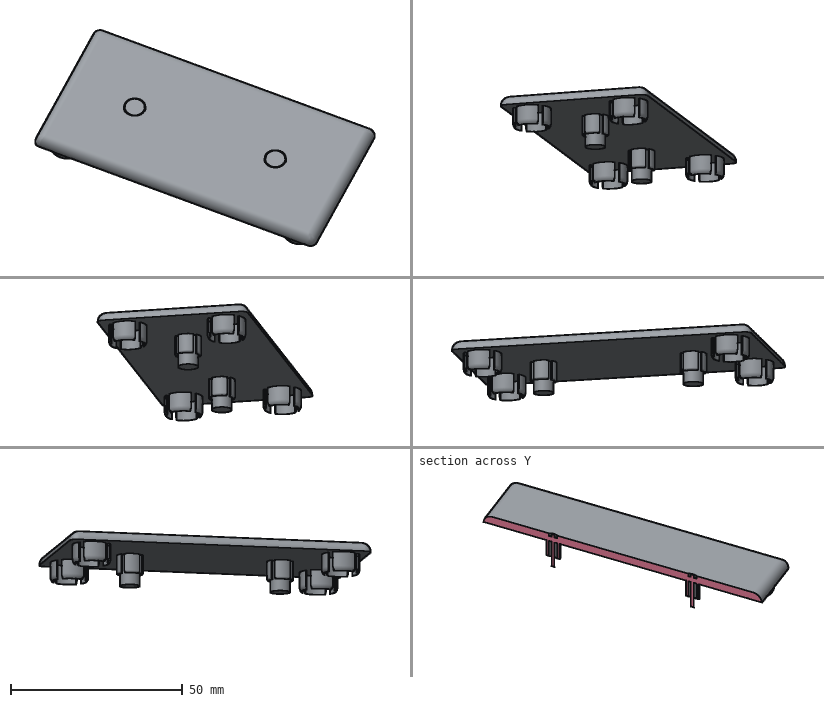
import cadquery as cq

plate_length = 90.0
plate_width = 45.0
plate_thickness = 3.0
rim_height = 0.01
edge_radius = plate_thickness - rim_height
corner_radius = 2.0

clip_height = 5.6

corner_clip_bore = 10.0
corner_clip_diameter = 11.2
corner_clip_tip_diameter = 10.1
corner_clip_tip_height = 1.35
corner_clip_slot_width = 1.7
corner_clip_inset = 7.7

pin_diameter = 5.85
pin_length = 9.0
pin_spacing = plate_length / 2
guide_bore = 6.3
guide_diameter = 7.7
guide_tip_radius = 0.5
guide_slot_width = 1.2

groove_depth = 1.0

corner_clip_x = plate_length / 2 - corner_clip_inset
corner_clip_y = plate_width / 2 - corner_clip_inset
corner_clip_points = [(x, y) for x in (-corner_clip_x, corner_clip_x) for y in (-corner_clip_y, corner_clip_y)]
pin_points = [(-pin_spacing / 2, 0), (pin_spacing / 2, 0)]


def make_plate():
    """Plate with rounded top edges; the curved mitres left at its corners are rounded too."""
    plate = cq.Workplane("XY").box(plate_length, plate_width, plate_thickness, centered=(True, True, False))
    plate = plate.faces(">Z").edges().fillet(edge_radius)
    return plate.edges("%ELLIPSE").fillet(corner_radius)


def split_into_arms(ring, slot_length, slot_width):
    """Split a clip ring into four arms with two crossing diagonal slots."""
    slot = cq.Workplane("XY").rect(slot_length, slot_width).extrude(-clip_height)
    for angle in (45, -45):
        ring = ring.cut(slot.rotate((0, 0, 0), (0, 0, 1), angle))
    return ring


def make_corner_clip():
    """Thin slotted ring whose outside curves inward to the tip."""
    bore_radius = corner_clip_bore / 2
    outer_radius = corner_clip_diameter / 2
    tip_radius = corner_clip_tip_diameter / 2
    profile = (
        cq.Workplane("XZ")
        .moveTo(bore_radius, 0)
        .lineTo(outer_radius, 0)
        .lineTo(outer_radius, corner_clip_tip_height - clip_height)
        .tangentArcPoint((tip_radius, -clip_height), relative=False)
        .lineTo(bore_radius, -clip_height)
        .close()
    )
    ring = profile.revolve(360, (0, 0, 0), (0, 1, 0))
    return split_into_arms(ring, 2 * corner_clip_diameter, corner_clip_slot_width)


def make_guided_pin():
    """Pin with a slotted guide ring around it, rounded at the ring's outer tip edge."""
    ring = cq.Workplane("XY").circle(guide_diameter / 2).extrude(-clip_height)
    ring = ring.faces("<Z").edges().fillet(guide_tip_radius)
    bore = cq.Workplane("XY").circle(guide_bore / 2).extrude(-clip_height)
    ring = split_into_arms(ring.cut(bore), 2 * guide_diameter, guide_slot_width)
    pin = cq.Workplane("XY").circle(pin_diameter / 2).extrude(-pin_length)
    return ring.add(pin).combine()


def make_pin_grooves():
    """Ring grooves that outline the pins in the top face."""
    top = cq.Workplane("XY", origin=(0, 0, plate_thickness)).pushPoints(pin_points)
    return top.circle(guide_bore / 2).circle(pin_diameter / 2).extrude(-groove_depth)


result = make_plate()

corner_clip = make_corner_clip()
for x, y in corner_clip_points:
    result = result.union(corner_clip.translate((x, y, 0)))

guided_pin = make_guided_pin()
for x, y in pin_points:
    result = result.union(guided_pin.translate((x, y, 0)))

result = result.cut(make_pin_grooves())